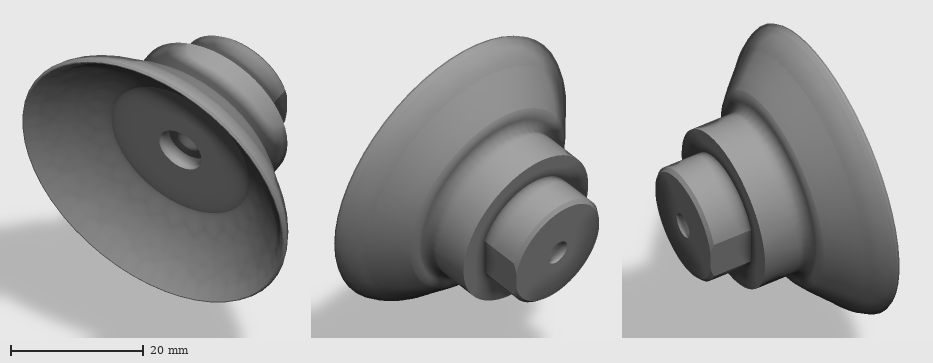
import cadquery as cq
import math

length = 24.5
rim_radius = 23.5

post_radius = 9.25
post_start = 17.55
post_chamfer = 0.55
flat_width = 17.15

body_radius = 26.0 / 2
neck_fillet = 1.5
shoulder_y = 9.55

wall_start = (16.07, 9.05)
wall_end = (20.77, 4.4)
wall_bulge = 0.1
skirt_end = (23.2, 1.3)
skirt_bulge = 0.25
rim_band = (0.4, 0.6)
lip_outer_radius = 23.25
lip_inner_radius = 23.1

floor_radius = 12.2
floor_y = 7.8
cup_bulge = 1.05

counterbore_radius = 3.75
counterbore_depth = 2.65
bore_radius = 4.0 / 2
bore_chamfer = 0.2


def bulged_mid(start, end, bulge):
    """Middle of an arc that bows away from the axis and towards +Y by the given height."""
    dr = end[0] - start[0]
    dy = end[1] - start[1]
    chord = math.hypot(dr, dy)
    return (
        (start[0] + end[0]) / 2 + bulge * abs(dy) / chord,
        (start[1] + end[1]) / 2 + bulge * abs(dr) / chord,
    )


def revolve_about_y(profile):
    return profile.close().revolve(360, (0, 0, 0), (0, 1, 0))


def make_body():
    """Cup and round body as one turned solid."""
    floor_edge = (floor_radius, floor_y)
    lip_inner = (lip_inner_radius, 0)

    shoulder_start = (body_radius + neck_fillet, shoulder_y)
    shoulder_run = wall_start[0] - shoulder_start[0]
    shoulder_drop = shoulder_start[1] - wall_start[1]
    shoulder_slope = math.atan2(shoulder_drop, shoulder_run)
    shoulder_bulge = math.hypot(shoulder_run, shoulder_drop) / 2 * math.tan(shoulder_slope / 2)
    fillet_reach = neck_fillet * (1 - math.sqrt(0.5))

    profile = (
        cq.Workplane("XY")
        .moveTo(0, floor_y)
        .lineTo(*floor_edge)
        .threePointArc(bulged_mid(floor_edge, lip_inner, cup_bulge), lip_inner)
        .lineTo(lip_outer_radius, 0)
        .lineTo(rim_radius, rim_band[0])
        .lineTo(rim_radius, rim_band[1])
        .lineTo(*skirt_end)
        .threePointArc(bulged_mid(skirt_end, wall_end, skirt_bulge), wall_end)
        .threePointArc(bulged_mid(wall_end, wall_start, wall_bulge), wall_start)
        .threePointArc(bulged_mid(wall_start, shoulder_start, shoulder_bulge), shoulder_start)
        .threePointArc(
            (body_radius + fillet_reach, shoulder_y + fillet_reach),
            (body_radius, shoulder_y + neck_fillet),
        )
        .lineTo(body_radius, post_start)
        .lineTo(0, post_start)
    )
    return revolve_about_y(profile)


def make_post():
    """Chamfered round post, cut to two flats facing -X and +X."""
    profile = (
        cq.Workplane("XY")
        .moveTo(0, shoulder_y)
        .lineTo(post_radius, shoulder_y)
        .lineTo(post_radius, length - post_chamfer)
        .lineTo(post_radius - post_chamfer, length)
        .lineTo(0, length)
    )
    flats = cq.Workplane("XY").box(flat_width, 2 * length, 2 * post_radius)
    return revolve_about_y(profile).intersect(flats)


def make_bore():
    """Counterbore in the cup floor and a chamfered hole through to the post end."""
    counterbore_end = floor_y + counterbore_depth
    profile = (
        cq.Workplane("XY")
        .moveTo(0, 0)
        .lineTo(counterbore_radius, 0)
        .lineTo(counterbore_radius, counterbore_end)
        .lineTo(bore_radius + bore_chamfer, counterbore_end)
        .lineTo(bore_radius, counterbore_end + bore_chamfer)
        .lineTo(bore_radius, length)
        .lineTo(0, length)
    )
    return revolve_about_y(profile)


result = make_body().union(make_post()).cut(make_bore())